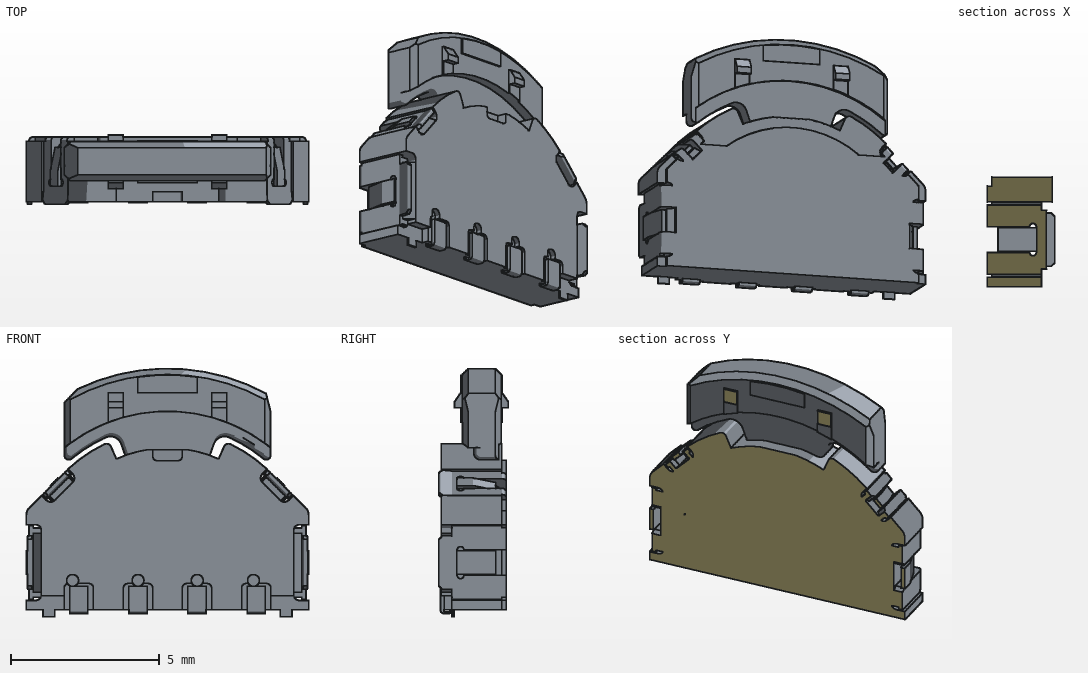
import cadquery as cq
import math


TALL_Z = 9.0
CLEAR = 1.0

ARC_Z = 1.17
DOME_R = 4.89
SEAT_R = 4.27
SEAT_FLAT_Z = 5.388
SEAT_HALF_ANGLE = 23.7
HORN_ROUND = 0.17

HALF_W = 4.75
HOUSING_T = 2.04
SHOULDER_Z = 3.33
SHOULDER_ROUND = 0.33
POCKET_HALF_W = 0.49
POCKET_FLOOR_Z = 5.02
POCKET_DEPTH = 0.345
POCKET_ROUND = 0.13
CORNER_STEP_X = 3.48
CORNER_STEP_Z = 0.475
CORNER_STEP_DEPTH = 0.36

FOOT_X = 3.99
FOOT_W = 0.40
FOOT_DROP = 0.23
FOOT_T = 0.07

TERMINALS = [(-2.985, -3.19), (-0.99, -0.99), (0.99, 1.00), (2.985, 2.89)]
RECESS_W = 0.99
RECESS_TOP = 0.89
RECESS_DEPTH = 0.10
RECESS_ROUND = 0.16
RELIEF_R = 0.20
RELIEF_Z = 0.99
RELIEF_DEPTH = 0.20
TERMINAL_W = 0.62
TERMINAL_TOP = 0.80
TERMINAL_FRONT = -0.03
TERMINAL_BOTTOM = -0.125
TERMINAL_T = 0.07
TERMINAL_BEND = 0.12

SHEET = 0.15
COVER_BACK = HOUSING_T + SHEET
COVER_R = 3.87
BEND_R = 0.15
LIP_REACH = 0.35
CLIP_FRONT = 0.36
TAB_FRONT = -0.085
TAB_FLARE = 0.06
TAB_CORNER = 0.12
TAB_ROUND = 0.05
WINDOW_FRONT = 0.53
WINDOW_DEPTH = 0.32
BULB_R = 0.11
BULB_Y = 0.65
TONGUE_RAISE = 0.085
TONGUE_BEND_Y = 1.07
TONGUE_END_Y = 1.83
TONGUE_DIP = 0.22
NOTCH_GAP = 0.03
SLOT_END = 0.10
SLOT_ROUND = 0.20

SIDE_CLIP = dict(
    x=-4.66, z=1.592, turn=180, half=1.24, tab_half=0.90,
    window_half=0.43, tongue_half=0.40, pocket_half=0.99, pocket_depth=0.42,
)
DIAGONAL_CLIP = dict(
    x=-3.75, z=4.25, turn=225, half=0.59, tab_half=0.59,
    window_half=0.23, tongue_half=0.18, pocket_half=0.45, pocket_depth=0.37,
)

SLIDER_HALF_W = 3.47
SLIDER_R = 6.95
SLIDER_FRONT = 0.71
SLIDER_BACK = 2.02
SLIDER_BEVEL = 0.20
BLOCK_R = 5.51
LEFT_CORNER = [(-3.10, 7.35), (-SLIDER_HALF_W, 6.97)]
RIGHT_CORNER = [(3.32, 7.27), (SLIDER_HALF_W, 6.66)]
SKIRT_R = 5.07
SKIRT_FRONT = 1.09
SKIRT_BACK = 1.93
SKIRT_ROUND = 0.20
LEG_HALF_ANGLE = 19.5
LEG_R = 4.0
LEG_FILLET = 0.38
TIP_ROUND = 0.15
RIM_X = 2.6
PAD_FRONT = 0.65
PAD_BACK = 2.05
PAD_HALF_W = 1.0
PAD_TOP_R = 6.73
PAD_BOTTOM = 7.30
LATCH_X = 1.745
LATCH_W = 0.51
LATCH_REACH = 0.205
LATCH_TOP = 7.30
LATCH_TIP_TOP = 7.0
LATCH_TIP_BOTTOM = 6.79


def box(x0, x1, y0, y1, z0, z1):
    size = (x1 - x0, y1 - y0, z1 - z0)
    return cq.Workplane("XY").box(*size, centered=False).translate((x0, y0, z0))


def plate(points, y0, y1):
    """XZ outline extruded from y0 to y1."""
    return cq.Workplane("XZ", origin=(0, y0, 0)).polyline(points).close().extrude(y0 - y1)


def disc(radius, y0, y1, x=0.0, z=ARC_Z):
    return cq.Workplane("XZ", origin=(x, y0, z)).circle(radius).extrude(y0 - y1)


def wedge(half_angle, y0, y1):
    """Triangular sector that opens upward from the arc centre."""
    spread = (TALL_Z - ARC_Z) * math.tan(math.radians(half_angle))
    return plate([(0, ARC_Z), (spread, TALL_Z), (-spread, TALL_Z)], y0, y1)


def mirrored(shape):
    return shape.union(shape.mirror("YZ"))


def place(shape, clip):
    """Turn a clip shape, built with +X outward, onto the left side and copy it to the right."""
    turned = shape.rotate((0, 0, 0), (0, 1, 0), clip["turn"])
    return mirrored(turned.translate((clip["x"], 0, clip["z"])))


def sloped_outline(half_w, shoulder_z, y0, y1):
    """Block with vertical sides and 45 degree shoulders."""
    points = [(-half_w, 0), (-half_w, shoulder_z), (0, shoulder_z + half_w),
              (half_w, shoulder_z), (half_w, 0)]
    return plate(points, y0, y1)


def make_housing():
    body = sloped_outline(HALF_W, SHOULDER_Z, 0, HOUSING_T)
    body = body.edges("|Y").edges("<X or >X").edges(">Z").fillet(SHOULDER_ROUND)
    body = body.intersect(disc(DOME_R, 0, HOUSING_T).union(
        box(-HALF_W, HALF_W, 0, HOUSING_T, 0, DIAGONAL_CLIP["z"])))
    seat = wedge(SEAT_HALF_ANGLE, 0, HOUSING_T).cut(disc(SEAT_R, 0, HOUSING_T))
    body = body.cut(seat).cut(box(-CLEAR, CLEAR, 0, HOUSING_T, SEAT_FLAT_Z, TALL_Z))
    body = round_horns(body)
    pocket = box(-POCKET_HALF_W, POCKET_HALF_W, 0, POCKET_DEPTH, POCKET_FLOOR_Z, TALL_Z)
    body = body.cut(pocket.edges("|Y and <Z").fillet(POCKET_ROUND))
    step = box(CORNER_STEP_X, HALF_W, 0, CORNER_STEP_DEPTH, 0, CORNER_STEP_Z)
    return body.cut(mirrored(step))


def round_horns(body):
    angle = math.radians(SEAT_HALF_ANGLE)
    x = DOME_R * math.sin(angle)
    z = ARC_Z + DOME_R * math.cos(angle)
    for side in (-1, 1):
        tip = cq.selectors.NearestToPointSelector((side * x, HOUSING_T / 2, z))
        body = body.edges("|Y").edges(tip).fillet(HORN_ROUND)
    return body


def make_foot():
    return box(FOOT_X - FOOT_W / 2, FOOT_X + FOOT_W / 2,
               CORNER_STEP_DEPTH, CORNER_STEP_DEPTH + FOOT_T, -FOOT_DROP, FOOT_T)


def terminal_recess(x, relief_x):
    recess = box(x - RECESS_W / 2, x + RECESS_W / 2, 0, RECESS_DEPTH, 0, RECESS_TOP)
    recess = recess.edges("|Y and >Z").fillet(RECESS_ROUND)
    return recess.union(disc(RELIEF_R, 0, RELIEF_DEPTH, relief_x, RELIEF_Z))


def terminal(x):
    """Strip that runs down the recess, under the housing and back up to its underside."""
    x0 = x - TERMINAL_W / 2
    x1 = x + TERMINAL_W / 2
    strip = box(x0, x1, TERMINAL_FRONT, CORNER_STEP_DEPTH, TERMINAL_BOTTOM, 0)
    strip = strip.union(box(x0, x1, TERMINAL_FRONT, RECESS_DEPTH, 0, TERMINAL_TOP))
    strip = strip.edges("|X and <Z").fillet(TERMINAL_BEND)
    gap = box(x0, x1, RECESS_DEPTH, CORNER_STEP_DEPTH - TERMINAL_T,
              TERMINAL_BOTTOM + TERMINAL_T, 0)
    return strip.cut(gap)


def make_cover():
    half_w = HALF_W - BEND_R - SHEET
    body = sloped_outline(half_w, SHOULDER_Z, HOUSING_T, COVER_BACK)
    return body.intersect(disc(COVER_R, HOUSING_T, COVER_BACK).union(
        box(-half_w, half_w, HOUSING_T, COVER_BACK, 0, DIAGONAL_CLIP["z"])))


def clip_notch(clip):
    """Clearance for the flange, with rounded end slots and a sloped lead-in at the front."""
    half = clip["half"] + NOTCH_GAP
    depth = clip["pocket_depth"]
    notch = box(-SHEET, CLEAR, TAB_FRONT, COVER_BACK, -half, half)
    outline = box(-depth, 0, 0, COVER_BACK, -half, half)
    outline = outline.edges("|Y and <X").fillet(SLOT_ROUND)
    slot_half = half - SLOT_END
    slots = outline.cut(box(-CLEAR, CLEAR, 0, COVER_BACK, -slot_half, slot_half))
    ramp_half = clip["pocket_half"]
    ends = outline.intersect(box(-CLEAR, CLEAR, 0, CLIP_FRONT, -half, half))
    ends = ends.cut(box(-CLEAR, CLEAR, 0, CLIP_FRONT, -ramp_half, ramp_half))
    ramp = (cq.Workplane("XY").polyline([(-SHEET, 0), (-depth, 0), (-SHEET, CLIP_FRONT)])
            .close().extrude(ramp_half, both=True))
    return notch.union(slots).union(ends).union(ramp)


def clip_window(clip):
    half = clip["window_half"]
    deep = WINDOW_DEPTH + HOUSING_T - TONGUE_END_Y
    outline = [(CLEAR, WINDOW_FRONT), (-WINDOW_DEPTH, WINDOW_FRONT), (-WINDOW_DEPTH, TONGUE_END_Y),
               (-deep, HOUSING_T), (-deep, COVER_BACK), (CLEAR, COVER_BACK)]
    window = cq.Workplane("XY").polyline(outline).close().extrude(half, both=True)
    for z in (-half, half):
        bulb = (cq.Workplane("YZ", origin=(-WINDOW_DEPTH, BULB_Y, z))
                .circle(BULB_R).extrude(CLEAR + WINDOW_DEPTH))
        window = window.union(bulb)
    return window


def clip_tab(clip):
    """Front end of the clip: flared, rounded along its tip and with its corners cut."""
    half = clip["tab_half"]
    tab = (cq.Workplane("XY")
           .polyline([(-SHEET, CLIP_FRONT), (0, CLIP_FRONT), (TAB_FLARE, TAB_FRONT),
                      (TAB_FLARE - SHEET, TAB_FRONT)])
           .close().extrude(half, both=True))
    tab = tab.faces("<Y").edges("|Z").fillet(TAB_ROUND)
    trim = box(-CLEAR, CLEAR, TAB_FRONT, CLIP_FRONT, -half, half)
    return tab.intersect(trim.edges("|X and <Y").chamfer(TAB_CORNER))


def clip_flange(clip):
    half = clip["half"]
    lip_half = half + NOTCH_GAP - SLOT_END
    lip = box(-LIP_REACH, 0, HOUSING_T, COVER_BACK, -lip_half, lip_half)
    lip = lip.union(box(-SHEET, 0, CLIP_FRONT, COVER_BACK, -lip_half, lip_half))
    lip = lip.edges("|Z and >X and >Y").fillet(BEND_R)
    wall = box(-SHEET, 0, CLIP_FRONT, HOUSING_T, -half, half)
    return lip.union(wall).union(clip_tab(clip))


def clip_tongue(clip):
    """Latch tongue: rooted at the front of the window, its free end bent inward."""
    outer = [(TONGUE_RAISE, WINDOW_FRONT), (TONGUE_RAISE, TONGUE_BEND_Y),
             (TONGUE_RAISE - TONGUE_DIP, TONGUE_END_Y)]
    inner = [(x - SHEET, y) for x, y in reversed(outer)]
    return (cq.Workplane("XY").polyline(outer + inner).close()
            .extrude(clip["tongue_half"], both=True))


def bevelled(shape):
    return shape.faces("<Y or >Y").edges().chamfer(SLIDER_BEVEL)


def slider_envelope():
    """Bevelled upright bar that gives the block and the skirt their ends."""
    return bevelled(box(-SLIDER_HALF_W, SLIDER_HALF_W, SLIDER_FRONT, SLIDER_BACK, 0, TALL_Z))


def extend_up(corner):
    """Point where the line of a corner cut reaches the height TALL_Z."""
    (x_top, z_top), (x_low, z_low) = corner
    return (x_top + (x_top - x_low) * (TALL_Z - z_top) / (z_top - z_low), TALL_Z)


def make_block():
    """Bevelled block: a disc trimmed by the two ends and their corner cuts."""
    block = slider_envelope().intersect(bevelled(disc(SLIDER_R, SLIDER_FRONT, SLIDER_BACK)))
    outline = [(-SLIDER_HALF_W, 0), LEFT_CORNER[1], extend_up(LEFT_CORNER),
               extend_up(RIGHT_CORNER), RIGHT_CORNER[1], (SLIDER_HALF_W, 0)]
    block = block.intersect(plate(outline, SLIDER_FRONT, SLIDER_BACK))
    return block.cut(disc(BLOCK_R, SLIDER_FRONT, SLIDER_BACK))


def make_skirt():
    """Curved apron below the block, with a leg reaching into the housing."""
    skirt = disc(BLOCK_R + SHEET, SKIRT_FRONT, SKIRT_BACK).cut(
        disc(SKIRT_R, SKIRT_FRONT, SKIRT_BACK))
    skirt = skirt.intersect(
        box(-SLIDER_HALF_W, SLIDER_HALF_W, SKIRT_FRONT, SKIRT_BACK, ARC_Z, TALL_Z))
    leg = wedge(LEG_HALF_ANGLE, SKIRT_FRONT, SKIRT_BACK)
    leg = leg.intersect(disc(BLOCK_R, SKIRT_FRONT, SKIRT_BACK))
    leg = leg.cut(disc(LEG_R, SKIRT_FRONT, SKIRT_BACK))
    skirt = skirt.union(leg)
    mid_y = (SKIRT_FRONT + SKIRT_BACK) / 2
    angle = math.radians(LEG_HALF_ANGLE)
    rim_z = ARC_Z + math.sqrt(SKIRT_R ** 2 - RIM_X ** 2)
    root = (SKIRT_R * math.sin(angle), ARC_Z + SKIRT_R * math.cos(angle))
    tip = (SLIDER_HALF_W, ARC_Z + math.sqrt(SKIRT_R ** 2 - SLIDER_HALF_W ** 2))
    for (x, z), radius in ((root, LEG_FILLET), (tip, TIP_ROUND)):
        for side in (-1, 1):
            corner = cq.selectors.NearestToPointSelector((side * x, mid_y, z))
            skirt = skirt.edges("|Y").edges(corner).fillet(radius)
    for side in (-1, 1):
        rim = cq.selectors.NearestToPointSelector((side * RIM_X, SKIRT_FRONT, rim_z))
        skirt = skirt.edges(rim).fillet(SKIRT_ROUND)
    return skirt.intersect(slider_envelope())


def make_pads():
    """Thin rubbing pads on both faces, with a wedge latch above each outer pad."""
    centre = box(-PAD_HALF_W, PAD_HALF_W, PAD_FRONT, PAD_BACK, PAD_BOTTOM, TALL_Z)
    centre = centre.intersect(disc(PAD_TOP_R, PAD_FRONT, PAD_BACK))
    x0 = LATCH_X - LATCH_W / 2
    profile = [
        (PAD_FRONT, LATCH_TOP), (PAD_FRONT - LATCH_REACH, LATCH_TIP_TOP),
        (PAD_FRONT - LATCH_REACH, LATCH_TIP_BOTTOM), (PAD_FRONT, LATCH_TIP_BOTTOM),
        (PAD_FRONT, ARC_Z), (PAD_BACK, ARC_Z),
        (PAD_BACK, LATCH_TIP_BOTTOM), (PAD_BACK + LATCH_REACH, LATCH_TIP_BOTTOM),
        (PAD_BACK + LATCH_REACH, LATCH_TIP_TOP), (PAD_BACK, LATCH_TOP),
    ]
    latch = cq.Workplane("YZ", origin=(x0, 0, 0)).polyline(profile).close().extrude(LATCH_W)
    latch = latch.cut(disc(BLOCK_R, 0, COVER_BACK))
    return mirrored(latch).union(centre)


CLIPS = (SIDE_CLIP, DIAGONAL_CLIP)

result = make_housing().union(make_cover())
for clip in CLIPS:
    result = result.cut(place(clip_notch(clip), clip))
    result = result.union(place(clip_flange(clip), clip))
    result = result.cut(place(clip_window(clip), clip))
    result = result.union(place(clip_tongue(clip), clip))
for x, relief_x in TERMINALS:
    result = result.cut(terminal_recess(x, relief_x)).union(terminal(x))
result = result.union(mirrored(make_foot()))
result = result.union(make_block()).union(make_skirt()).union(make_pads())